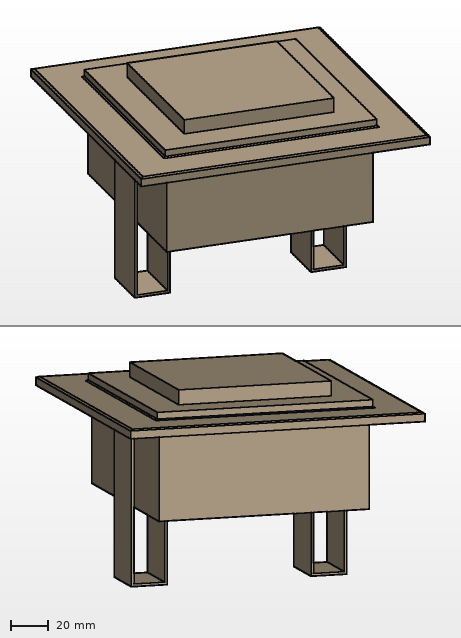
import cadquery as cq

flange_side = 164.0
flange_thickness = 5.0
flange_bevel_width = 1.5
flange_bevel_height = 0.7

panel_side = 120.0
panel_height = 4.3
skirt_width = 1.0
skirt_height = 0.7

pad_side = 85.0
pad_height = 8.0

strap_thickness = 1.5
strap_width = 30.0
strap_depth = 20.0
body_side = panel_side - 2 * strap_thickness
body_height = 50.0
leg_drop = 42.8

body_bottom = leg_drop
flange_bottom = body_bottom + body_height
flange_top = flange_bottom + flange_thickness
panel_top = flange_top + panel_height


def square_block(side, height, bottom):
    return cq.Workplane("XY").workplane(offset=bottom).rect(side, side).extrude(height)


def square_taper(bottom_side, top_side, height, bottom):
    return (
        cq.Workplane("XY")
        .workplane(offset=bottom)
        .rect(bottom_side, bottom_side)
        .workplane(offset=height)
        .rect(top_side, top_side)
        .loft(ruled=True)
    )


def make_flange():
    straight_height = flange_thickness - flange_bevel_height
    bevel_top_side = flange_side - 2 * flange_bevel_width
    bevel_bottom = flange_bottom + straight_height
    plate = square_block(flange_side, straight_height, flange_bottom)
    bevel = square_taper(flange_side, bevel_top_side, flange_bevel_height, bevel_bottom)
    return plate.union(bevel)


def make_panel():
    panel = square_block(panel_side, panel_height, flange_top)
    skirt = square_taper(panel_side + 2 * skirt_width, panel_side, skirt_height, flange_top)
    return panel.union(skirt)


def make_strap(side):
    """U-shaped strap on the -Y (side = -1) or +Y (side = 1) face of the body."""
    outer_y = side * panel_side / 2
    outer_wall_y = outer_y - side * strap_thickness
    inner_wall_y = outer_y - side * (strap_depth - strap_thickness)
    inner_y = outer_y - side * strap_depth
    profile = [
        (outer_y, flange_bottom),
        (outer_y, 0),
        (inner_y, 0),
        (inner_y, body_bottom),
        (inner_wall_y, body_bottom),
        (inner_wall_y, strap_thickness),
        (outer_wall_y, strap_thickness),
        (outer_wall_y, flange_bottom),
    ]
    return cq.Workplane("YZ").polyline(profile).close().extrude(strap_width / 2, both=True)


result = make_flange().union(make_panel())
result = result.union(square_block(pad_side, pad_height, panel_top))
result = result.union(square_block(body_side, body_height, body_bottom))
for side in (-1, 1):
    result = result.union(make_strap(side))